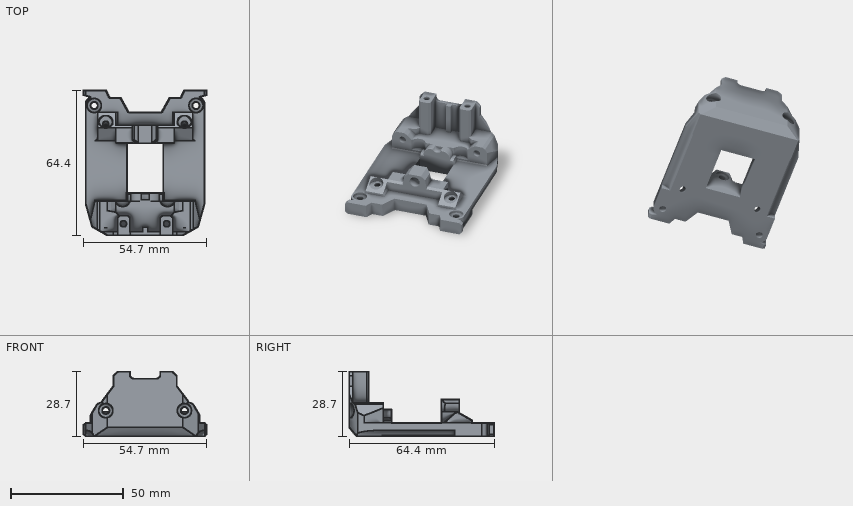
import cadquery as cq
import math

EAR_HALF_WIDTH = 54.73 / 2
PLATE_HALF_WIDTH = 26.4
LENGTH = 64.4
PLATE_TOP = 5.9
SIDE_TAPER_START = 14.0
FRONT_CORNER_X, FRONT_CORNER_Y = 23.55, 3.85
FRONT_HALF_WIDTH = 16.7
WINDOW_HALF_WIDTH = 8.0
WINDOW_FRONT, WINDOW_BACK = 19.0, 41.0

EAR_CHAMFER_X, EAR_CHAMFER_Z = 1.1, 0.9
EAR_FRONT = 62.3
EAR_ROOT_X, EAR_ROOT_Y = 24.1, 61.45
PLATE_HOLE_X, PLATE_HOLE_Y = 22.6, 57.7
PLATE_CORNER_RADIUS = 4.0
CLEARANCE_DIAMETER = 3.1
HEAD_DIAMETER = 6.3
PLATE_HEAD_DEPTH = 1.0

BACK_NOTCH_BOTTOM = 54.6
BACK_NOTCH_STEP_Y = 61.1
BACK_NOTCH_BOTTOM_X = 7.2
BACK_NOTCH_STEP_INNER_X, BACK_NOTCH_STEP_OUTER_X = 10.8, 15.7
BACK_NOTCH_MOUTH_X = 17.3
BACK_NOTCH_DRAFT = 0.33

GROOVE_RADIUS = 3.2
GROOVE_X, GROOVE_Z = 26.0, -0.6
GROOVE_END = 47.0
GROOVE_LIP, GROOVE_LIP_START = 0.43, 14.8

HEIGHT = 28.72
WALL_THICKNESS = 1.65
WALL_BASE_HALF_WIDTH, WALL_BASE_Z = 19.4, 15.2
WALL_HALF_WIDTH, WALL_SHOULDER_Z = 14.1, 22.25
WALL_CORNER_CHAMFER = 1.9
WALL_NOTCH_HALF_WIDTH = 6.7
WALL_NOTCH_BOTTOM = 25.6
WALL_NOTCH_RADIUS = 1.75
BOTTOM_CHAMFER_Y, BOTTOM_CHAMFER_Z = 3.3, 4.0

BLOCK_TOP = 14.95
BLOCK_BACK = 15.2
BLOCK_BACK_HALF_WIDTH = 22.3
BLOCK_SIDE_Y = 6.64
SIDE_TAPER = (PLATE_HALF_WIDTH - FRONT_CORNER_X) / (SIDE_TAPER_START - FRONT_CORNER_Y)
BLOCK_SIDE_X = FRONT_CORNER_X + SIDE_TAPER * (BLOCK_SIDE_Y - FRONT_CORNER_Y)
BLOCK_BEVEL_BOTTOM_Z = 9.15
BLOCK_BEVEL_X, BLOCK_BEVEL_Z = 21.36, 14.2
BLOCK_TOP_HALF_WIDTH = 20.05
BLOCK_FOOT = 0.45

POCKET_FLOOR = 11.9
POCKET_HALF_WIDTH = 12.96
POCKET_FRONT_HALF_WIDTH = 11.6
POCKET_KNEE_X, POCKET_KNEE_Z = 15.1, 14.0
POCKET_RIM_X = 16.75
POCKET_RIM_FRONT, POCKET_SIDE_FRONT = 11.0, 10.3
HEAD_RELIEF_X, HEAD_RELIEF_Y, HEAD_RELIEF_RADIUS = 9.95, 16.2, 3.4

POST_INNER_X, POST_OUTER_X = 6.74, 12.24
POST_BACK = 8.78
POST_CHAMFER = 0.95
POST_HOLE_X, POST_HOLE_Y = 9.6, 5.17
POST_HOLE_DIAMETER, POST_HOLE_DEPTH = 2.8, 10.0
RIB_HALF_WIDTH, RIB_BACK = 1.1, 3.56

SCREW_X, FRONT_SCREW_Z = 17.46, 11.4
FRONT_HEAD_DEPTH = 3.5

LUG_FLAT_HALF_WIDTH, LUG_HALF_WIDTH = 2.66, 6.3
LUG_LEDGE_HALF_WIDTH, LUG_FOOT_HALF_WIDTH = 7.8, 8.4
LUG_LEDGE_Z, LUG_FOOT_Z = 8.26, 7.1
LUG_LEDGE_CHAMFER = 0.8
LUG_EDGE_CHAMFER = 0.2
LUG_GROOVE_DIAMETER, LUG_GROOVE_FRONT = 4.0, 15.9
LUG_GROOVE_LEAD = 0.4
BAR_SCREW_Z = 12.85

BAR_HALF_WIDTH = 12.96
BAR_FRONT, BAR_BACK = 40.85, 49.0
BAR_CHAMFER = 0.4
RAMP_TOP_Y, RAMP_TOP_Z = 47.8, 10.9
RAMP_BACK_Z = 7.1
WEDGE_TOE_Y, WEDGE_TOE_Z = 42.6, 6.4
WEDGE_OUTER_X = 21.1
WEDGE_FLARE_X, WEDGE_INNER_FLARE = 1.05, 0.75

BUMP_TOP = 16.4
BUMP_TOP_HALF_WIDTH = 2.96
BUMP_SHOULDER_HALF_WIDTH, BUMP_SHOULDER_Z = 4.9, 14.7
BUMP_BASE_HALF_WIDTH = 5.6
BUMP_FRONT_BASE_HALF_WIDTH = 4.2
BUMP_CORNER = 1.6
BUMP_HEAD_DIAMETER, BUMP_HEAD_DEPTH = 6.1, 1.0
BUMP_WEB = 1.5
BUMP_BACK_BORE_DIAMETER = 4.7

RAMP_HEAD_DIAMETER, RAMP_HOLE_DIAMETER = 6.2, 2.8
RAMP_SCREW_Y, RAMP_SEAT_Z = 50.5, 7.9
RAMP_HOLE_Y = 50.1
RAMP_HOLE_LENGTH = 2 * RAMP_TOP_Z

SIDES = (-1, 1)
RAMP_ANGLE = math.atan2(RAMP_TOP_Z - RAMP_BACK_Z, BACK_NOTCH_BOTTOM - RAMP_TOP_Y)


def mirrored(right_half):
    """Close a right-half outline with its mirror image about X = 0."""
    return right_half + [(-x, v) for x, v in reversed(right_half)]


def prism_z(points, bottom, top):
    return cq.Workplane("XY").workplane(offset=bottom).polyline(points).close().extrude(top - bottom)


def prism_y(points, front, back):
    """Extrude an XZ outline from Y = front to Y = back."""
    return cq.Workplane("XZ", origin=(0, front, 0)).polyline(points).close().extrude(front - back)


def prism_x(points, left, right):
    """Extrude a YZ outline from X = left to X = right."""
    return cq.Workplane("YZ", origin=(left, 0, 0)).polyline(points).close().extrude(right - left)


def rod(start, direction, diameter, length):
    return cq.Workplane(
        cq.Solid.makeCylinder(diameter / 2, length, cq.Vector(*start), cq.Vector(*direction))
    )


def body_outline(height):
    """Plan of the plate and front corners without the ears, extruded upward."""
    half = [
        (FRONT_HALF_WIDTH, 0),
        (FRONT_CORNER_X, FRONT_CORNER_Y),
        (PLATE_HALF_WIDTH, SIDE_TAPER_START),
        (PLATE_HALF_WIDTH, PLATE_HOLE_Y),
        (EAR_ROOT_X, PLATE_HOLE_Y),
        (EAR_ROOT_X, LENGTH),
    ]
    return prism_z(mirrored(half), 0, height)


def body_limits():
    """Box that keeps the rounded corners within the plate sides."""
    return cq.Workplane("XY").box(2 * PLATE_HALF_WIDTH, 2 * LENGTH, 2 * HEIGHT)


def ear(side):
    """Hooked rear corner: a chamfered finger plus the round land of the plate hole."""
    plan = [
        (0, LENGTH),
        (EAR_HALF_WIDTH, LENGTH),
        (EAR_HALF_WIDTH, EAR_FRONT),
        (EAR_ROOT_X, EAR_ROOT_Y),
        (0, EAR_ROOT_Y),
    ]
    chamfer_x = EAR_HALF_WIDTH - EAR_CHAMFER_X
    section = [
        (0, 0),
        (chamfer_x, 0),
        (EAR_HALF_WIDTH, EAR_CHAMFER_Z),
        (EAR_HALF_WIDTH, PLATE_TOP - EAR_CHAMFER_Z),
        (chamfer_x, PLATE_TOP),
        (0, PLATE_TOP),
    ]
    finger = prism_z([(side * x, y) for x, y in plan], 0, PLATE_TOP)
    finger = finger.intersect(prism_y([(side * x, z) for x, z in section], 0, LENGTH))
    land = rod((side * PLATE_HOLE_X, PLATE_HOLE_Y, 0), (0, 0, 1), 2 * PLATE_CORNER_RADIUS, PLATE_TOP)
    land = land.intersect(body_limits())
    return finger.union(land)


def back_notch():
    """Stepped rear notch whose slanted sides lean outward toward the top."""

    def outline(spread):
        return mirrored([
            (BACK_NOTCH_BOTTOM_X + spread, BACK_NOTCH_BOTTOM),
            (BACK_NOTCH_STEP_INNER_X + spread, BACK_NOTCH_STEP_Y),
            (BACK_NOTCH_STEP_OUTER_X + spread, BACK_NOTCH_STEP_Y),
            (BACK_NOTCH_MOUTH_X + spread, LENGTH),
        ])

    lower = cq.Workplane("XY").polyline(outline(0)).close()
    return lower.workplane(offset=PLATE_TOP).polyline(outline(BACK_NOTCH_DRAFT)).close().loft(ruled=True)


def plate():
    """Flat base with its ears, window and rear notch."""
    body = body_outline(PLATE_TOP)
    for side in SIDES:
        body = body.union(ear(side))
    window = cq.Workplane("XY").box(
        2 * WINDOW_HALF_WIDTH, WINDOW_BACK - WINDOW_FRONT, PLATE_TOP, centered=(True, False, False)
    )
    return body.cut(window.translate((0, WINDOW_FRONT, 0))).cut(back_notch())


def front_wall():
    """Thin upright wall across the front with a round-cornered notch in its top edge."""
    half = [
        (WALL_BASE_HALF_WIDTH, PLATE_TOP),
        (WALL_BASE_HALF_WIDTH, WALL_BASE_Z),
        (WALL_HALF_WIDTH, WALL_SHOULDER_Z),
        (WALL_HALF_WIDTH, HEIGHT - WALL_CORNER_CHAMFER),
        (WALL_HALF_WIDTH - WALL_CORNER_CHAMFER, HEIGHT),
    ]
    return prism_y(mirrored(half), 0, WALL_THICKNESS)


def wall_notch():
    notch = prism_y(
        mirrored([(WALL_NOTCH_HALF_WIDTH, WALL_NOTCH_BOTTOM), (WALL_NOTCH_HALF_WIDTH, 2 * HEIGHT)]),
        0, WALL_THICKNESS,
    )
    return notch.edges("|Y and <Z").fillet(WALL_NOTCH_RADIUS)


def block():
    """Low block behind the wall: bevelled section limited by the tapering plan."""
    section = mirrored([
        (BLOCK_SIDE_X, 0),
        (BLOCK_SIDE_X, BLOCK_BEVEL_BOTTOM_Z),
        (BLOCK_BEVEL_X, BLOCK_BEVEL_Z),
        (BLOCK_TOP_HALF_WIDTH, BLOCK_TOP),
    ])
    plan = mirrored([
        (FRONT_HALF_WIDTH, 0),
        (FRONT_CORNER_X, FRONT_CORNER_Y),
        (BLOCK_SIDE_X, BLOCK_SIDE_Y),
        (BLOCK_BACK_HALF_WIDTH, BLOCK_BACK),
    ])
    body = prism_y(section, 0, BLOCK_BACK).intersect(prism_z(plan, 0, BLOCK_TOP))
    foot = [
        (BLOCK_BACK, PLATE_TOP), (BLOCK_BACK + BLOCK_FOOT, PLATE_TOP), (BLOCK_BACK, PLATE_TOP + BLOCK_FOOT),
    ]
    return body.union(prism_x(foot, -BLOCK_BACK_HALF_WIDTH, BLOCK_BACK_HALF_WIDTH))


def block_pocket():
    """Recess in the block top with two-slope sides and round reliefs at its back."""
    section = mirrored([
        (POCKET_HALF_WIDTH, POCKET_FLOOR),
        (POCKET_KNEE_X, POCKET_KNEE_Z),
        (POCKET_RIM_X, BLOCK_TOP),
    ])
    plan = mirrored([
        (POCKET_FRONT_HALF_WIDTH, WALL_THICKNESS),
        (POCKET_FRONT_HALF_WIDTH, POST_BACK),
        (POCKET_HALF_WIDTH, POCKET_SIDE_FRONT),
        (POCKET_RIM_X, POCKET_RIM_FRONT),
        (POCKET_RIM_X, BLOCK_BACK),
    ])
    pocket = prism_y(section, 0, BLOCK_BACK).intersect(prism_z(plan, 0, HEIGHT))
    for side in SIDES:
        pocket = pocket.union(rod(
            (side * HEAD_RELIEF_X, HEAD_RELIEF_Y, LUG_FOOT_Z), (0, 0, 1),
            2 * HEAD_RELIEF_RADIUS, BLOCK_TOP - LUG_FOOT_Z,
        ))
    return pocket


def post(side):
    """Upright post joined to the wall, its two rear corners bevelled."""
    plan = [
        (POST_INNER_X, 0),
        (POST_OUTER_X, 0),
        (POST_OUTER_X, POST_BACK - POST_CHAMFER),
        (POST_OUTER_X - POST_CHAMFER, POST_BACK),
        (POST_INNER_X + POST_CHAMFER, POST_BACK),
        (POST_INNER_X, POST_BACK - POST_CHAMFER),
    ]
    return prism_z([(side * x, y) for x, y in plan], PLATE_TOP, HEIGHT)


def wall_rib():
    """Short vertical rib at the middle of the wall's inner face."""
    half = [(RIB_HALF_WIDTH, 0), (RIB_HALF_WIDTH, RIB_BACK)]
    return prism_z(mirrored(half), PLATE_TOP, WALL_NOTCH_BOTTOM)


def lug():
    """Round-shouldered lug with a stepped foot and a groove, flared at its open end."""
    radius = LUG_HALF_WIDTH - LUG_FLAT_HALF_WIDTH
    bend_x = LUG_FLAT_HALF_WIDTH + radius * math.sqrt(0.5)
    bend_z = LUG_LEDGE_Z + radius * math.sqrt(0.5)
    crown = (
        cq.Workplane("XZ", origin=(0, BLOCK_BACK, 0))
        .moveTo(-LUG_HALF_WIDTH, 0)
        .lineTo(-LUG_HALF_WIDTH, LUG_LEDGE_Z)
        .threePointArc((-bend_x, bend_z), (-LUG_FLAT_HALF_WIDTH, POCKET_FLOOR))
        .lineTo(LUG_FLAT_HALF_WIDTH, POCKET_FLOOR)
        .threePointArc((bend_x, bend_z), (LUG_HALF_WIDTH, LUG_LEDGE_Z))
        .lineTo(LUG_HALF_WIDTH, 0)
        .close()
        .extrude(BLOCK_BACK - WINDOW_FRONT)
    )
    crown = crown.faces(">Y").edges("not <Z").chamfer(LUG_EDGE_CHAMFER)
    foot = prism_y(
        mirrored([
            (LUG_FOOT_HALF_WIDTH, PLATE_TOP),
            (LUG_LEDGE_HALF_WIDTH, LUG_FOOT_Z),
            (LUG_LEDGE_HALF_WIDTH, LUG_LEDGE_Z),
        ]),
        BLOCK_BACK, WINDOW_FRONT,
    )
    foot = foot.edges(">Y and >Z").chamfer(LUG_LEDGE_CHAMFER)
    groove = rod(
        (0, LUG_GROOVE_FRONT, BAR_SCREW_Z), (0, 1, 0), LUG_GROOVE_DIAMETER, WINDOW_FRONT - LUG_GROOVE_FRONT
    )
    lead = cq.Workplane(cq.Solid.makeCone(
        LUG_GROOVE_DIAMETER / 2,
        LUG_GROOVE_DIAMETER / 2 + LUG_GROOVE_LEAD,
        LUG_GROOVE_LEAD,
        cq.Vector(0, WINDOW_FRONT - LUG_GROOVE_LEAD, BAR_SCREW_Z),
        cq.Vector(0, 1, 0),
    ))
    return crown.union(foot).cut(groove).cut(lead)


def ramp_z(y):
    """Height of the rear ramp at a given Y."""
    return RAMP_TOP_Z - (y - RAMP_TOP_Y) * math.tan(RAMP_ANGLE)


def rear_bar():
    """Bar along the back of the window, sloping down behind its flat top."""
    section = [
        (BAR_FRONT, 0),
        (BAR_FRONT, RAMP_TOP_Z - BAR_CHAMFER),
        (BAR_FRONT + BAR_CHAMFER, RAMP_TOP_Z),
        (RAMP_TOP_Y, RAMP_TOP_Z),
        (BAR_BACK, ramp_z(BAR_BACK)),
        (BAR_BACK, 0),
    ]
    bar = prism_x(section, -BAR_HALF_WIDTH, BAR_HALF_WIDTH)
    return bar.edges("|Z and <Y").chamfer(BAR_CHAMFER)


def bump():
    """Bevelled hump on the bar that carries the centre screw."""
    section = mirrored([
        (BUMP_BASE_HALF_WIDTH, 0),
        (BUMP_BASE_HALF_WIDTH, RAMP_TOP_Z),
        (BUMP_SHOULDER_HALF_WIDTH, BUMP_SHOULDER_Z),
        (BUMP_TOP_HALF_WIDTH, BUMP_TOP),
    ])
    body = prism_y(section, BAR_FRONT, BAR_BACK)
    for side in SIDES:
        body = body.cut(bump_corner(side))
    return body


def bump_corner(side):
    """Wedge trimming one front vertical corner of the hump along its leaning side."""

    def outline(front_x, side_x):
        corner_back = BAR_FRONT + BUMP_CORNER
        run = side_x - front_x
        return [
            (side * front_x, BAR_FRONT),
            (side * (side_x + run), corner_back + BUMP_CORNER),
            (side * (side_x + run), BAR_FRONT),
        ]

    lower = cq.Workplane("XY", origin=(0, 0, RAMP_TOP_Z))
    lower = lower.polyline(outline(BUMP_FRONT_BASE_HALF_WIDTH, BUMP_BASE_HALF_WIDTH)).close()
    upper = lower.workplane(offset=BUMP_TOP - RAMP_TOP_Z)
    top_side_x = BUMP_TOP_HALF_WIDTH + BUMP_BASE_HALF_WIDTH - BUMP_FRONT_BASE_HALF_WIDTH
    return upper.polyline(outline(BUMP_TOP_HALF_WIDTH, top_side_x)).close().loft(ruled=True)


def wedge(side):
    """Ramped boss beside the bar, with a flared foot along its sides and front."""
    profile = [
        (WEDGE_TOE_Y, 0),
        (WEDGE_TOE_Y, WEDGE_TOE_Z),
        (RAMP_TOP_Y, RAMP_TOP_Z),
        (BACK_NOTCH_BOTTOM, RAMP_BACK_Z),
        (BACK_NOTCH_BOTTOM, 0),
    ]
    left, right = sorted((side * BAR_HALF_WIDTH, side * WEDGE_OUTER_X))
    body = prism_x(profile, left, right)
    flare_height = RAMP_BACK_Z - PLATE_TOP
    toe_height = WEDGE_TOE_Z - PLATE_TOP
    outer = WEDGE_OUTER_X + WEDGE_FLARE_X
    section = (
        cq.Workplane("XZ", origin=(0, WEDGE_TOE_Y - toe_height, 0))
        .moveTo(side * outer, PLATE_TOP)
        .threePointArc(
            (side * (outer - WEDGE_FLARE_X * math.sqrt(0.5)),
             RAMP_BACK_Z - flare_height * math.sqrt(0.5)),
            (side * WEDGE_OUTER_X, RAMP_BACK_Z),
        )
        .lineTo(side * BAR_HALF_WIDTH, RAMP_BACK_Z)
        .lineTo(side * (BAR_HALF_WIDTH - WEDGE_INNER_FLARE), PLATE_TOP)
        .close()
        .extrude(WEDGE_TOE_Y - toe_height - BACK_NOTCH_BOTTOM)
    )
    flare_profile = [
        (WEDGE_TOE_Y - toe_height, PLATE_TOP),
        (WEDGE_TOE_Y, WEDGE_TOE_Z),
        (WEDGE_TOE_Y + flare_height, RAMP_BACK_Z),
        (BACK_NOTCH_BOTTOM, RAMP_BACK_Z),
        (BACK_NOTCH_BOTTOM, PLATE_TOP),
    ]
    flare = section.intersect(prism_x(flare_profile, -PLATE_HALF_WIDTH, PLATE_HALF_WIDTH))
    return body.union(flare)


def ramp_screw(side):
    """Screw hole square to the ramp, its head recess ending on a level seat."""
    into = (0, -math.sin(RAMP_ANGLE), -math.cos(RAMP_ANGLE))
    out = tuple(-c for c in into)
    start = (side * SCREW_X, RAMP_SCREW_Y, ramp_z(RAMP_SCREW_Y))
    above_seat = cq.Workplane("XY").box(LENGTH, 2 * LENGTH, HEIGHT, centered=(True, True, False))
    above_seat = above_seat.translate((0, 0, RAMP_SEAT_Z))
    head = rod(start, into, RAMP_HEAD_DIAMETER, PLATE_TOP)
    head = head.union(rod(start, out, RAMP_HEAD_DIAMETER, PLATE_TOP)).intersect(above_seat)
    hole_start = (side * SCREW_X, RAMP_HOLE_Y, ramp_z(RAMP_HOLE_Y))
    return head.union(rod(hole_start, into, RAMP_HOLE_DIAMETER, RAMP_HOLE_LENGTH))


def screw_holes():
    """Front-wall, plate, post and centre screw holes."""
    along_y = (0, 1, 0)
    back_bore_start = BAR_FRONT + BUMP_HEAD_DEPTH + BUMP_WEB
    holes = rod((0, BAR_FRONT, BAR_SCREW_Z), along_y, CLEARANCE_DIAMETER, BAR_BACK - BAR_FRONT)
    holes = holes.union(rod((0, BAR_FRONT, BAR_SCREW_Z), along_y, BUMP_HEAD_DIAMETER, BUMP_HEAD_DEPTH))
    holes = holes.union(rod(
        (0, back_bore_start, BAR_SCREW_Z), along_y, BUMP_BACK_BORE_DIAMETER, BAR_BACK - back_bore_start
    ))
    for side in SIDES:
        front = (side * SCREW_X, 0, FRONT_SCREW_Z)
        holes = holes.union(rod(front, (0, 1, 0), CLEARANCE_DIAMETER, BLOCK_BACK))
        holes = holes.union(rod(front, (0, 1, 0), HEAD_DIAMETER, FRONT_HEAD_DEPTH))
        corner = (side * PLATE_HOLE_X, PLATE_HOLE_Y, PLATE_TOP)
        holes = holes.union(rod(corner, (0, 0, -1), CLEARANCE_DIAMETER, PLATE_TOP))
        holes = holes.union(rod(corner, (0, 0, -1), HEAD_DIAMETER, PLATE_HEAD_DEPTH))
        top = (side * POST_HOLE_X, POST_HOLE_Y, HEIGHT)
        holes = holes.union(rod(top, (0, 0, -1), POST_HOLE_DIAMETER, POST_HOLE_DEPTH))
    return holes


def side_groove(side):
    """Rounded groove under one long edge, with a chamfered inner lip."""
    groove = rod((side * GROOVE_X, 0, GROOVE_Z), (0, 1, 0), 2 * GROOVE_RADIUS, GROOVE_END)
    lip_x = GROOVE_X - math.sqrt(GROOVE_RADIUS**2 - (GROOVE_LIP - GROOVE_Z) ** 2)
    lip = [(lip_x - GROOVE_LIP, 0), (lip_x, GROOVE_LIP), (lip_x + GROOVE_LIP, 0)]
    return groove.union(prism_y([(side * x, z) for x, z in lip], GROOVE_LIP_START, GROOVE_END))


def front_bottom_chamfer():
    section = [(0, 0), (BOTTOM_CHAMFER_Y, 0), (0, BOTTOM_CHAMFER_Z)]
    return prism_x(section, -PLATE_HALF_WIDTH, PLATE_HALF_WIDTH)


def build():
    body = plate().union(block()).cut(block_pocket()).union(front_wall()).cut(wall_notch())
    body = body.union(wall_rib()).union(lug())
    for side in SIDES:
        body = body.union(post(side))
    body = body.intersect(body_outline(HEIGHT).union(plate()))
    body = body.union(rear_bar()).union(bump())
    for side in SIDES:
        body = body.union(wedge(side)).cut(ramp_screw(side))
        body = body.cut(side_groove(side))
    return body.cut(screw_holes()).cut(front_bottom_chamfer())


result = build()